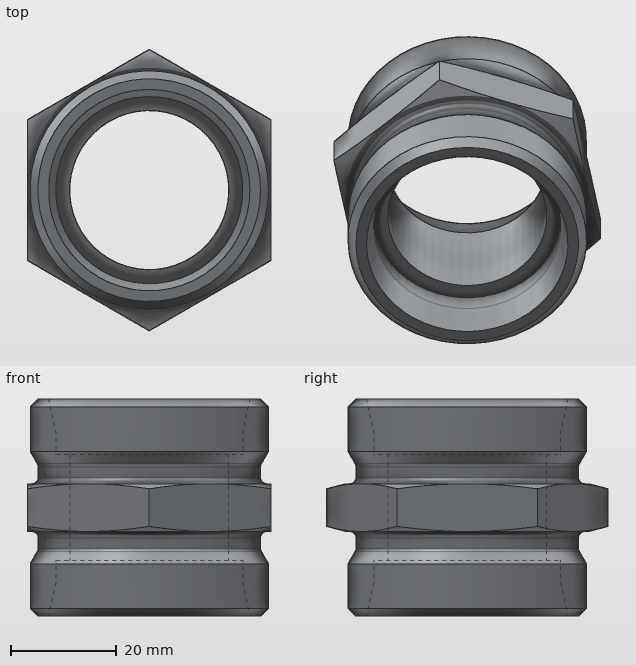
import cadquery as cq
import math

TOTAL_LENGTH = 41.0
THREAD_DIAMETER = 45.0
THREAD_LENGTH = 9.9
END_CHAMFER = 1.5

UNDERCUT_DIAMETER = 42.0
RUNOUT_HALF_ANGLE = 30.0
UNDERCUT_RADIUS = 1.2

HEX_SIDES = 6
HEX_ACROSS_FLATS = 46.0
HEX_HEIGHT = 9.0
HEX_CHAMFER_ANGLE = 15.0

BORE_DIAMETER = 30.0
SOCKET_DIAMETER = 35.3
SOCKET_DEPTH = 10.5
SEAT_MOUTH_DIAMETER = 38.0
SEAT_HALF_ANGLE = 12.0

half_length = TOTAL_LENGTH / 2
half_hex = HEX_HEIGHT / 2
hex_half_sector = 180 / HEX_SIDES
hex_across_corners = HEX_ACROSS_FLATS / math.cos(math.radians(hex_half_sector))


def revolve_about_z(profile):
    """Revolve an XZ profile a full turn about the Z axis."""
    return profile.close().revolve(360, (0, 0, 0), (0, 1, 0))


def make_upper_end():
    """Solid threaded end with its undercut, from the mid-plane to the top face."""
    thread_radius = THREAD_DIAMETER / 2
    neck_radius = UNDERCUT_DIAMETER / 2
    thread_start = half_length - THREAD_LENGTH
    cone_angle = math.radians(RUNOUT_HALF_ANGLE)
    cone_foot = thread_start - (thread_radius - neck_radius) / math.tan(cone_angle)

    tangent_length = UNDERCUT_RADIUS * math.tan(cone_angle / 2)
    blend_centre_radius = neck_radius + UNDERCUT_RADIUS
    blend_bottom = cone_foot - tangent_length

    def blend_point(angle):
        return (
            blend_centre_radius - UNDERCUT_RADIUS * math.cos(angle),
            blend_bottom + UNDERCUT_RADIUS * math.sin(angle),
        )

    fillet_diagonal = UNDERCUT_RADIUS * math.sqrt(0.5)
    fillet_centre_z = half_hex + UNDERCUT_RADIUS
    fillet_middle = (blend_centre_radius - fillet_diagonal, fillet_centre_z - fillet_diagonal)

    profile = (
        cq.Workplane("XZ")
        .moveTo(0, 0)
        .lineTo(blend_centre_radius, 0)
        .lineTo(blend_centre_radius, half_hex)
        .threePointArc(fillet_middle, (neck_radius, fillet_centre_z))
        .lineTo(neck_radius, blend_bottom)
        .threePointArc(blend_point(cone_angle / 2), blend_point(cone_angle))
        .lineTo(thread_radius, thread_start)
        .lineTo(thread_radius, half_length - END_CHAMFER)
        .lineTo(thread_radius - END_CHAMFER, half_length)
        .lineTo(0, half_length)
    )
    return revolve_about_z(profile)


def make_hexagon():
    """Hexagon collar with flats facing +X and -X and conically chamfered corners."""
    prism = (
        cq.Workplane("XY")
        .workplane(offset=-half_hex)
        .polygon(HEX_SIDES, hex_across_corners)
        .extrude(HEX_HEIGHT)
        .rotate((0, 0, 0), (0, 0, 1), hex_half_sector)
    )
    face_radius = HEX_ACROSS_FLATS / 2
    corner_radius = hex_across_corners / 2
    corner_drop = (corner_radius - face_radius) * math.tan(math.radians(HEX_CHAMFER_ANGLE))
    chamfer_envelope = revolve_about_z(
        cq.Workplane("XZ")
        .moveTo(0, -half_hex)
        .lineTo(face_radius, -half_hex)
        .lineTo(corner_radius, corner_drop - half_hex)
        .lineTo(corner_radius, half_hex - corner_drop)
        .lineTo(face_radius, half_hex)
        .lineTo(0, half_hex)
    )
    return prism.intersect(chamfer_envelope)


def make_upper_socket():
    """Tube socket with conical seat, cut into the top end face."""
    socket_radius = SOCKET_DIAMETER / 2
    mouth_radius = SEAT_MOUTH_DIAMETER / 2
    seat_depth = (mouth_radius - socket_radius) / math.tan(math.radians(SEAT_HALF_ANGLE))
    shoulder = half_length - SOCKET_DEPTH
    profile = (
        cq.Workplane("XZ")
        .moveTo(0, shoulder)
        .lineTo(socket_radius, shoulder)
        .lineTo(socket_radius, half_length - seat_depth)
        .lineTo(mouth_radius, half_length)
        .lineTo(0, half_length)
    )
    return revolve_about_z(profile)


def make_bore():
    """Cylindrical passage through the full length."""
    return (
        cq.Workplane("XY")
        .workplane(offset=-half_length)
        .circle(BORE_DIAMETER / 2)
        .extrude(TOTAL_LENGTH)
    )


def with_mirror_image(upper_half):
    """Combine an upper feature with its mirror image below the mid-plane."""
    return upper_half.union(upper_half.mirror("XY"))


body = make_hexagon().union(with_mirror_image(make_upper_end()))
result = body.cut(make_bore()).cut(with_mirror_image(make_upper_socket()))